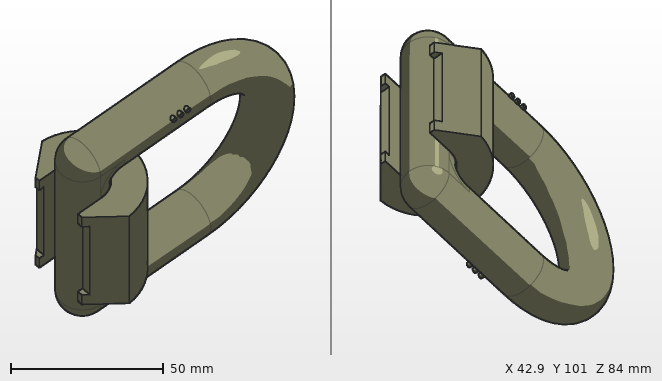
import cadquery as cq
import math


ring_height = 84.0
rod_radius = 9.0
bow_radius = ring_height / 2 - rod_radius
bow_center_y = 48.6
bend_radius = 10.6

pip_diameter = 1.8
pip_count = 3
pip_pitch = 3.0
pip_middle_y = 35.4
pip_z = 36.4
pip_tip_x = 9.5

block_radius = 21.5
block_height = 44.9
block_base_y = -10.4
bevel_top_y = 1.5
base_half_width = 11.4
channel_radius = 9.5
tab_height = 4.9
tab_depth = 2.0


def make_corner_gusset():
    """Inner corner filling at +Z: a rounded bend with a flat-sided web behind it."""
    bend_center_z = bow_radius - bend_radius
    arc_middle = bend_radius * math.sqrt(0.5)
    web = (
        cq.Workplane("YZ")
        .moveTo(bend_radius, bow_radius)
        .lineTo(0, bow_radius)
        .lineTo(0, bend_center_z)
        .threePointArc(
            (bend_radius - arc_middle, bend_center_z + arc_middle),
            (bend_radius, bow_radius),
        )
        .close()
        .extrude(rod_radius, both=True)
    )
    bend = (
        cq.Workplane("XZ", origin=(0, bend_radius, 0))
        .moveTo(rod_radius, bow_radius)
        .threePointArc((0, bow_radius - rod_radius), (-rod_radius, bow_radius))
        .close()
        .revolve(90, (0, bend_center_z), (1, bend_center_z))
    )
    return web.union(bend)


def make_pips(side):
    """Row of pips on one leg; side is +1 for the +X, +Z leg and -1 for the opposite one."""
    first_y = pip_middle_y - pip_pitch * (pip_count - 1) / 2
    centers = [(first_y + i * pip_pitch, side * pip_z) for i in range(pip_count)]
    return (
        cq.Workplane("YZ")
        .pushPoints(centers)
        .circle(pip_diameter / 2)
        .extrude(side * pip_tip_x)
    )


def make_ring():
    bow = (
        cq.Workplane("XZ", origin=(0, bow_center_y, 0))
        .center(0, bow_radius)
        .circle(rod_radius)
        .revolve(180, (0, -bow_radius), (-1, -bow_radius))
    )
    ring = bow.union(
        cq.Workplane("XY")
        .circle(rod_radius)
        .extrude(bow_radius, both=True)
    )
    gusset = make_corner_gusset()
    for side in (1, -1):
        leg_z = side * bow_radius
        leg = cq.Workplane("XZ").center(0, leg_z).circle(rod_radius).extrude(-bow_center_y)
        knuckle = cq.Workplane("XY").sphere(rod_radius).translate((0, 0, leg_z))
        ring = ring.union(leg).union(knuckle)
    ring = ring.union(gusset).union(gusset.mirror("XY"))
    for side in (1, -1):
        ring = ring.union(make_pips(side))
    return ring


def make_block():
    bevel_top_x = math.sqrt(block_radius**2 - bevel_top_y**2)
    block = (
        cq.Workplane("XY")
        .moveTo(channel_radius, block_base_y)
        .lineTo(base_half_width, block_base_y)
        .lineTo(bevel_top_x, bevel_top_y)
        .threePointArc((0, block_radius), (-bevel_top_x, bevel_top_y))
        .lineTo(-base_half_width, block_base_y)
        .lineTo(-channel_radius, block_base_y)
        .lineTo(-channel_radius, 0)
        .threePointArc((0, channel_radius), (channel_radius, 0))
        .close()
        .extrude(block_height / 2, both=True)
    )
    relief = (
        cq.Workplane("XY")
        .box(2 * block_radius, tab_depth, block_height - 2 * tab_height)
        .translate((0, block_base_y + tab_depth / 2, 0))
    )
    return block.cut(relief)


ring = make_ring()
block = make_block()
result = cq.Compound.makeCompound([ring.solids().val(), block.solids().val()])